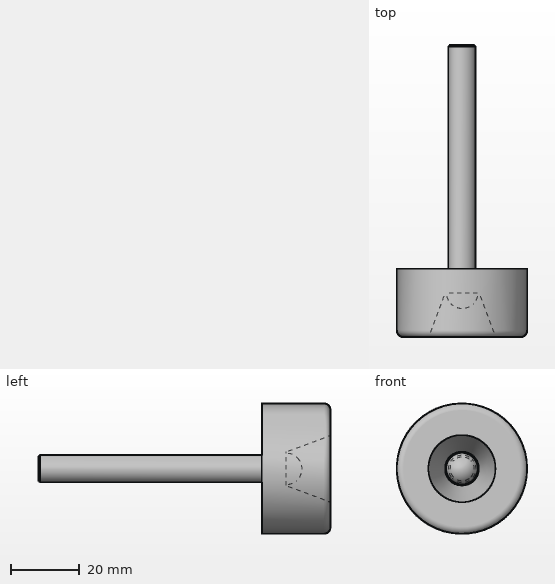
import cadquery as cq

total_length = 85.0
head_radius = 38.0 / 2
head_length = 20.0
head_fillet = 1.95
rod_radius = 8.0 / 2
rod_chamfer = 0.5

recess_mouth_radius = 9.8
recess_floor_radius = 4.9
recess_depth = 13.0
dome_radius = 4.6

front_y = -total_length / 2
head_back_y = front_y + head_length
rod_end_y = total_length / 2
recess_floor_y = front_y + recess_depth


def cylinder(radius, start_y, end_y):
    """Cylinder on the Y axis between two Y positions."""
    plane = cq.Workplane("XZ", origin=(0, start_y, 0))
    return plane.circle(radius).extrude(start_y - end_y)


def make_head():
    head = cylinder(head_radius, front_y, head_back_y)
    return head.faces("<Y").edges().fillet(head_fillet)


def make_rod():
    rod = cylinder(rod_radius, recess_floor_y, rod_end_y)
    return rod.faces(">Y").edges().chamfer(rod_chamfer)


def make_recess():
    profile = (
        cq.Workplane("XY")
        .moveTo(0, front_y)
        .lineTo(recess_mouth_radius, front_y)
        .lineTo(recess_floor_radius, recess_floor_y)
        .lineTo(0, recess_floor_y)
        .close()
    )
    return profile.revolve(360, (0, 0, 0), (0, 1, 0))


def make_dome():
    """Ball whose front half stands in the recess."""
    return cq.Workplane("XY", origin=(0, recess_floor_y, 0)).sphere(dome_radius)


result = make_head().cut(make_recess()).union(make_rod()).union(make_dome())